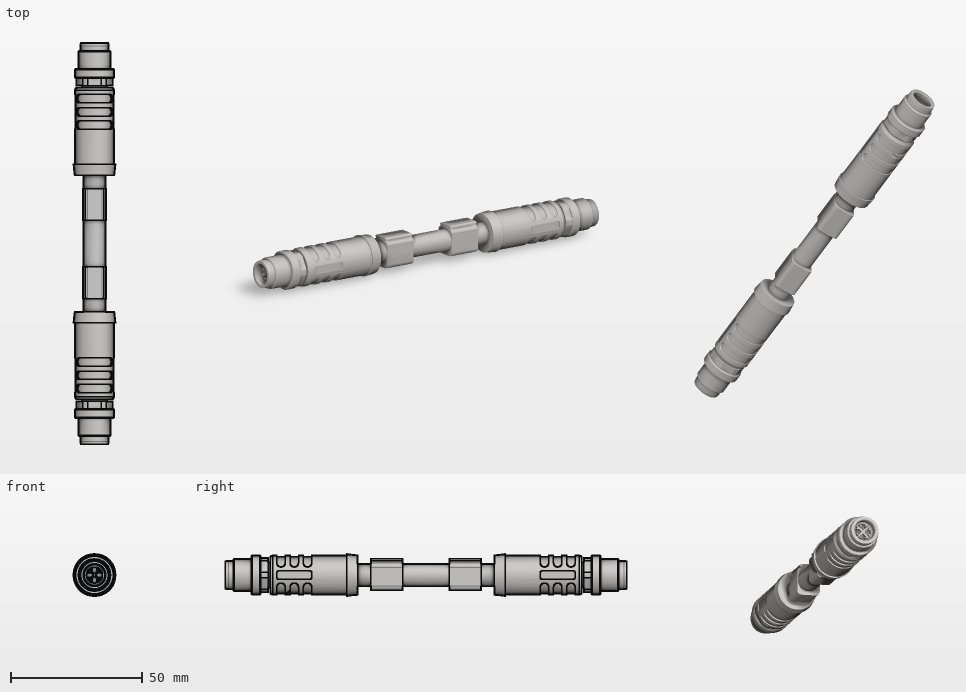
import cadquery as cq
import math

total_length = 153.0
half_length = total_length / 2

nose_radius = 10.9 / 2
nose_end = 3.0
nose_chamfer_length = 1.2
nose_chamfer = 0.2
sleeve_radius = 12.2 / 2
sleeve_chamfer = 0.3
sleeve_end = 10.0
nut_radius = 15.0 / 2
nut_end = 13.5
nut_chamfer = 0.3
hex_corner_radius = 14.0 / 2
hex_across_flats = 13.2
hex_end = 16.4
neck_radius = 9.8 / 2
neck_end = 17.1
grip_radius = 15.0 / 2
grip_chamfer_length = 0.9
grip_chamfer = 0.5
grip_end = 46.4
collar_front_radius = 16.0 / 2
collar_rear_radius = 15.1 / 2
collar_end = 50.5

groove_count = 3
groove_width = 3.2
groove_pitch = 5.0
groove_floor_radius = 7.0
groove_end_height = 3.0
first_groove_y = 21.3 - half_length
groove_span = (groove_count - 1) * groove_pitch
pocket_width = 3.4
pocket_corner = 0.9
pocket_floor = 7.0

socket_radius = 4.0
socket_mouth_radius = 8.5 / 2
socket_mouth_length = 0.3
socket_depth = 3.0
insert_radius = 3.0
insert_recess = 1.5
insert_floor = socket_depth + insert_recess
pin_diameter = 0.6
pin_length = 2.3
pin_radial_offset = 2.3
pin_side_offset = 1.0
shield_thickness = 0.6
shield_angles = (45, 135)

cable_diameter = 8.5

clip_length = 12.1
clip_start = 55.5
clip_half_width = 4.5
clip_bottom = -5.8
clip_bottom_fillet = 1.7
shoulder_bottom = 3.0
shoulder_top = 4.7
shoulder_half_width = 3.4
notch_depth = 0.3
top_half_width = 3.5
top_bottom = 5.4
top_fillet = 0.8
clip_top = 6.3


def along_cable(radius, start, end):
    """Cylinder on the plug axis between two depths."""
    return (
        cq.Workplane("XZ", origin=(0, start - half_length, 0))
        .circle(radius)
        .extrude(start - end)
    )


def turned(shape, angle):
    """Shape turned about the plug axis."""
    return shape.rotate((0, 0, 0), (0, 1, 0), angle)


def plug_blank():
    """Turned plug body with the stepped socket in its nose; the hexagon is added later."""
    outline = [
        (0, insert_floor),
        (insert_radius, insert_floor),
        (insert_radius, socket_depth),
        (socket_radius, socket_depth),
        (socket_radius, socket_mouth_length),
        (socket_mouth_radius, 0),
        (nose_radius - nose_chamfer, 0),
        (nose_radius, nose_chamfer_length),
        (nose_radius, nose_end),
        (sleeve_radius - sleeve_chamfer, nose_end),
        (sleeve_radius, nose_end + sleeve_chamfer),
        (sleeve_radius, sleeve_end),
        (nut_radius - nut_chamfer, sleeve_end),
        (nut_radius, sleeve_end + nut_chamfer),
        (nut_radius, nut_end - nut_chamfer),
        (nut_radius - nut_chamfer, nut_end),
        (neck_radius, nut_end),
        (neck_radius, neck_end),
        (grip_radius - grip_chamfer, neck_end),
        (grip_radius, neck_end + grip_chamfer_length),
        (grip_radius, grip_end),
        (collar_front_radius, grip_end),
        (collar_rear_radius, collar_end),
        (0, collar_end),
    ]
    profile = cq.Workplane("XY", origin=(0, -half_length, 0)).polyline(outline).close()
    return profile.revolve(360, (0, 0, 0), (0, 1, 0))


def wrench_hexagon():
    """Hexagon behind the nut, flats facing up and down, corners turned round."""
    hexagon = (
        cq.Workplane("XZ", origin=(0, nut_end - half_length, 0))
        .polygon(6, hex_across_flats / math.cos(math.pi / 6))
        .extrude(nut_end - hex_end)
    )
    return hexagon.intersect(along_cable(hex_corner_radius, nut_end, hex_end))


def grip_grooves():
    """Slots across the top and bottom, cut down to a round floor."""
    slot_outer = 2 * grip_radius
    slot_middle_height = (slot_outer + groove_end_height) / 2
    slot_length = slot_outer - groove_end_height
    centres = [
        (first_groove_y + i * groove_pitch, side * slot_middle_height)
        for i in range(groove_count)
        for side in (-1, 1)
    ]
    slots = (
        cq.Workplane("YZ")
        .pushPoints(centres)
        .slot2D(slot_length, groove_width, 90)
        .extrude(grip_radius, both=True)
    )
    return slots.cut(along_cable(groove_floor_radius, neck_end, grip_end))


def side_pockets():
    """Flat-floored pockets on the left and right, as long as the row of grooves."""
    length = groove_span + groove_width
    middle = first_groove_y + groove_span / 2
    thickness = 2 * (grip_radius - pocket_floor)
    return (
        cq.Workplane("XY")
        .pushPoints([(-grip_radius, middle), (grip_radius, middle)])
        .box(thickness, length, pocket_width)
        .edges("|X")
        .fillet(pocket_corner)
    )


def contacts():
    """Eight pins in pairs between the arms of a diagonal shield cross."""
    plane = cq.Workplane("XZ", origin=(0, insert_floor - half_length, 0))
    pair = plane.pushPoints([(side * pin_side_offset, pin_radial_offset) for side in (-1, 1)])
    pins = pair.circle(pin_diameter / 2).extrude(pin_length)
    arm = plane.rect(2 * insert_radius, shield_thickness).extrude(insert_recess)
    arm = arm.intersect(along_cable(insert_radius, socket_depth, insert_floor))
    contact_set = turned(arm, shield_angles[0]).union(turned(arm, shield_angles[1]))
    for quarter in range(4):
        contact_set = contact_set.union(turned(pins, 90 * quarter))
    return contact_set


def marker_clip():
    """Clip round the cable: rounded base, shoulders and a narrower rounded top."""
    mid_x = clip_half_width - (1 - math.sqrt(0.5)) * (clip_half_width - shoulder_half_width)
    mid_z = shoulder_bottom + math.sqrt(0.5) * (shoulder_top - shoulder_bottom)
    notch = (shoulder_half_width - notch_depth, (shoulder_top + top_bottom) / 2)
    base_corner = clip_bottom + clip_bottom_fillet
    half_section = (
        cq.Workplane("XZ", origin=(0, clip_start - half_length, 0))
        .moveTo(0, clip_bottom)
        .lineTo(clip_half_width - clip_bottom_fillet, clip_bottom)
        .radiusArc((clip_half_width, base_corner), -clip_bottom_fillet)
        .lineTo(clip_half_width, shoulder_bottom)
        .threePointArc((mid_x, mid_z), (shoulder_half_width, shoulder_top))
        .threePointArc(notch, (top_half_width, top_bottom))
        .lineTo(top_half_width, clip_top - top_fillet)
        .radiusArc((top_half_width - top_fillet, clip_top), -top_fillet)
        .lineTo(0, clip_top)
        .close()
        .extrude(-clip_length)
    )
    return half_section.union(half_section.mirror("YZ"))


plug = plug_blank().union(wrench_hexagon())
plug = plug.cut(grip_grooves()).cut(side_pockets())
plug = plug.union(contacts())

half_cable = along_cable(cable_diameter / 2, collar_end, half_length)
half_assembly = half_cable.union(plug).union(marker_clip())
result = half_assembly.union(half_assembly.mirror("XZ"))